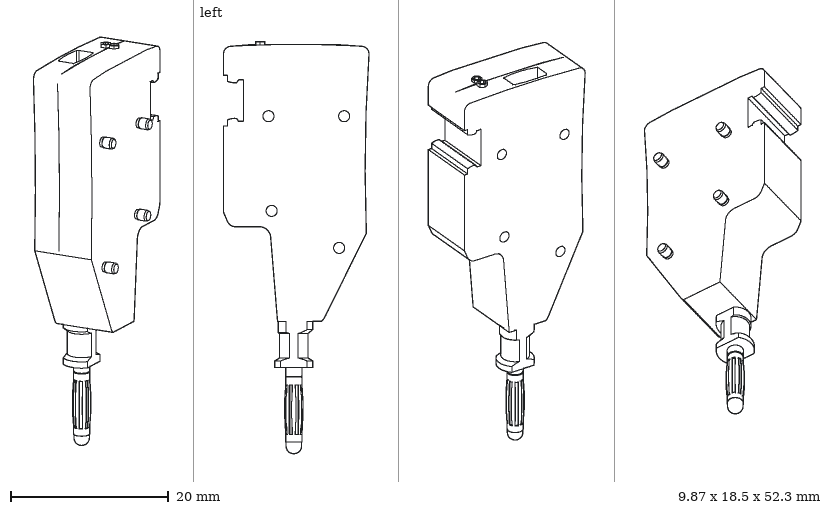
import cadquery as cq
import math


width = 8.2
seam_x = 3.5
back_y = 8.93
front_top_y = -9.55
narrow_waist_y = -9.04
wide_waist_y = -9.06
front_low_y = -9.2
base_z = 16.8
edge_z = 51.68
crown_z = 51.9
corner_r = 1.0
flat_back_y = 5.25
flat_front_y = -5.3
front_low_z = 28.4
front_waist_z = 38.0
incline_top_z = 27.95
incline_low_y = -3.95
incline_low_z = 17.35
toe_y = -3.5
neck_low_y = 2.08
neck_top_y = 2.95
neck_top_z = 27.5
shoulder_z = 28.76
shoulder_inner_y = 4.5
shoulder_outer_y = 7.35
heel_z = 30.65
heel_corner = (8.45, 29.5)
heel_arc_mid = (8.05, 29.0)
neck_arc_mid = (3.4, 28.4)

notch_mid_z = 44.78
notch_root_y = 6.4
notch_lip_y = 8.43
notch_mouth_half = 3.2
notch_lip_half = 2.45
notch_bump_half = 2.25
notch_root_half = 2.62
bump_inner_y = 7.25
bump_mid_y = 7.7
bump_root_y = 7.0

stud_places = [(3.21, 42.8), (-6.38, 42.8), (2.81, 30.8), (-5.75, 26.1)]
stud_d = 1.4
stud_length = 1.67
stud_bevel = 0.25
stud_end_inset = 0.1
stud_neck_d = 1.26
stud_neck_length = 0.35
socket_depth = 1.7

pocket_back_y = 1.0
pocket_front_y = -4.2
pocket_x0 = 0.57
pocket_x1 = 2.87
pocket_bulge_x0 = 0.41
pocket_bulge_x1 = 3.17
pocket_corner = 0.25
pocket_depth = 4.0

ring_top_z = 52.26
ring_y = 4.26
ring_d = 1.36
ring_wall = 0.25
ring_pitch = 1.2

axis_x = seam_x / 2
flange_r = 2.43
flange_back_r = 2.0
core_r = 1.83
collar_bottom_z = 10.93
low_flange_z = 11.77
low_core_z = 12.15
high_core_z = 15.25
high_flange_z = 15.75

plug_r = 1.04
nose_r = 1.0
groove_depth = 0.08
groove_z0 = 9.74
groove_z1 = 9.82
cage_top_z = 8.75
cage_bottom_z = 2.45
cage_bulge_r = 1.2
band_z = 1.5
leaf_count = 8
leaf_gap = 0.4
leaf_gap_depth = 0.35


def notch_z(half, side):
    """Height at a distance above (side = 1) or below (side = -1) the middle of the notch."""
    return notch_mid_z + side * half


def vertical_outline(rounded_top, waist_y):
    """Side outline of one shell in (y, z): arched top or flat top with sloping ends."""
    corner_mid = corner_r * (1 - math.sqrt(0.5))
    side_z = edge_z - corner_r
    top_back_y = back_y - corner_r
    top_front_y = front_top_y + corner_r

    outline = cq.Workplane("YZ").moveTo(back_y, side_z)
    outline = outline.threePointArc((back_y - corner_mid, edge_z - corner_mid), (top_back_y, edge_z))
    if rounded_top:
        middle_y = (top_back_y + top_front_y) / 2
        outline = outline.threePointArc((middle_y, crown_z), (top_front_y, edge_z))
    else:
        outline = outline.lineTo(flat_back_y, crown_z).lineTo(flat_front_y, crown_z)
        outline = outline.lineTo(top_front_y, edge_z)
    outline = (
        outline.threePointArc((front_top_y + corner_mid, edge_z - corner_mid), (front_top_y, side_z))
        .threePointArc((waist_y, front_waist_z), (front_low_y, front_low_z))
        .lineTo(front_low_y, incline_top_z)
        .lineTo(incline_low_y, incline_low_z)
        .tangentArcPoint((toe_y, base_z), relative=False)
        .lineTo(neck_low_y, base_z)
        .lineTo(neck_top_y, neck_top_z)
        .threePointArc(neck_arc_mid, (shoulder_inner_y, shoulder_z))
        .lineTo(shoulder_outer_y, shoulder_z)
        .threePointArc(heel_arc_mid, heel_corner)
        .lineTo(back_y, heel_z)
    )
    lower, upper = -1, 1
    return (
        outline.lineTo(back_y, notch_z(notch_mouth_half, lower))
        .lineTo(notch_lip_y, notch_z(notch_mouth_half, lower))
        .lineTo(notch_lip_y, notch_z(notch_lip_half, lower))
        .threePointArc(
            (bump_mid_y, notch_z(notch_bump_half, lower)),
            (bump_inner_y, notch_z(notch_bump_half, lower)),
        )
        .lineTo(bump_root_y, notch_z(notch_root_half, lower))
        .lineTo(notch_root_y, notch_z(notch_root_half, lower))
        .lineTo(notch_root_y, notch_z(notch_root_half, upper))
        .lineTo(bump_root_y, notch_z(notch_root_half, upper))
        .lineTo(bump_inner_y, notch_z(notch_bump_half, upper))
        .threePointArc(
            (bump_mid_y, notch_z(notch_bump_half, upper)),
            (notch_lip_y, notch_z(notch_lip_half, upper)),
        )
        .lineTo(notch_lip_y, notch_z(notch_mouth_half, upper))
        .lineTo(back_y, notch_z(notch_mouth_half, upper))
        .close()
    )


def revolved_about_plug_axis(profile):
    """Turn a closed (radius, z) profile about the plug axis."""
    return profile.revolve(360, (0, 0, 0), (0, 1, 0)).translate((axis_x, 0, 0))


def make_collar():
    """Flanged neck that carries the plug, flat on both sides."""
    profile = (
        cq.Workplane("XZ")
        .moveTo(0, collar_bottom_z)
        .lineTo(flange_r, collar_bottom_z)
        .lineTo(flange_r, low_flange_z)
        .lineTo(core_r, low_core_z)
        .lineTo(core_r, high_core_z)
        .lineTo(flange_r, high_flange_z)
        .lineTo(flange_r, base_z)
        .lineTo(0, base_z)
        .close()
    )
    flats = cq.Workplane("XY").box(seam_x, back_y, base_z, centered=(False, True, False))
    high_part = cq.Workplane("XY", origin=(axis_x, 0, high_core_z))
    back_rim_height = base_z - high_core_z
    back_rim = (
        high_part.circle(2 * flange_r)
        .circle(flange_back_r)
        .extrude(back_rim_height)
        .intersect(high_part.box(4 * flange_r, 2 * flange_r, back_rim_height, centered=(True, False, False)))
    )
    return revolved_about_plug_axis(profile).intersect(flats).cut(back_rim)


def make_studs():
    """Locating studs on the far side, necked at the root and bevelled at the end."""
    roots = cq.Workplane("YZ", origin=(width, 0, 0)).pushPoints(stud_places)
    necks = roots.circle(stud_neck_d / 2).extrude(stud_neck_length)
    shanks = (
        cq.Workplane("YZ", origin=(width + stud_neck_length, 0, 0))
        .pushPoints(stud_places)
        .circle(stud_d / 2)
        .extrude(stud_length - stud_neck_length)
        .faces(">X")
        .edges()
        .chamfer(stud_bevel, stud_end_inset)
    )
    return necks.union(shanks)


def make_sockets():
    """Blind holes in the mating face, in line with the studs."""
    return cq.Workplane("YZ").pushPoints(stud_places).circle(stud_d / 2).extrude(socket_depth)


def make_pocket():
    """Pocket with two bowed long walls, cut down from the top face."""
    middle_y = (pocket_back_y + pocket_front_y) / 2
    return (
        cq.Workplane("XY", origin=(0, 0, crown_z - pocket_depth))
        .moveTo(pocket_x1, pocket_back_y)
        .lineTo(pocket_x0 + pocket_corner, pocket_back_y)
        .lineTo(pocket_x0, pocket_back_y - pocket_corner)
        .threePointArc((pocket_bulge_x0, middle_y), (pocket_x0, pocket_front_y + pocket_corner))
        .lineTo(pocket_x0 + pocket_corner, pocket_front_y)
        .lineTo(pocket_x1, pocket_front_y)
        .threePointArc((pocket_bulge_x1, middle_y), (pocket_x1, pocket_back_y))
        .close()
        .extrude(2 * pocket_depth)
    )


def make_rings():
    """Pair of hexagonal rings standing on the top face across the seam."""
    places = [(seam_x - ring_pitch / 2, ring_y), (seam_x + ring_pitch / 2, ring_y)]
    ring_plane = cq.Workplane("XY", origin=(0, 0, edge_z))
    height = ring_top_z - edge_z
    outer = ring_plane.pushPoints(places).polygon(6, ring_d).extrude(height)
    inner = ring_plane.pushPoints(places).polygon(6, ring_d - 2 * ring_wall).extrude(height)
    return outer.cut(inner)


def make_housing():
    narrow_shell = vertical_outline(rounded_top=True, waist_y=narrow_waist_y).extrude(seam_x)
    wide_shell = vertical_outline(rounded_top=False, waist_y=wide_waist_y).extrude(width - seam_x)
    body = narrow_shell.union(wide_shell.translate((seam_x, 0, 0)))
    for addition in (make_collar(), make_studs(), make_rings()):
        body = body.union(addition)
    return body.cut(make_sockets()).cut(make_pocket())


def make_plug():
    """Round-nosed plug with a bowed cage of spring leaves."""
    cage_mid_z = (cage_top_z + cage_bottom_z) / 2
    nose_mid = nose_r * math.sqrt(0.5)
    groove_r = plug_r - groove_depth
    profile = (
        cq.Workplane("XZ")
        .moveTo(0, 0)
        .threePointArc((nose_mid, nose_r - nose_mid), (nose_r, nose_r))
        .lineTo(nose_r, band_z)
        .lineTo(plug_r, band_z)
        .lineTo(plug_r, cage_bottom_z)
        .threePointArc((cage_bulge_r, cage_mid_z), (plug_r, cage_top_z))
        .lineTo(plug_r, groove_z0)
        .lineTo(groove_r, groove_z0)
        .lineTo(groove_r, groove_z1)
        .lineTo(plug_r, groove_z1)
        .lineTo(plug_r, collar_bottom_z)
        .lineTo(0, collar_bottom_z)
        .close()
    )
    plug = revolved_about_plug_axis(profile)
    gap = (
        cq.Workplane("XY", origin=(cage_bulge_r - leaf_gap_depth, 0, cage_bottom_z))
        .box(cage_bulge_r, leaf_gap, cage_top_z - cage_bottom_z, centered=(False, True, False))
    )
    for leaf in range(leaf_count):
        turned_gap = gap.rotate((0, 0, 0), (0, 0, 1), (leaf + 0.5) * 360 / leaf_count)
        plug = plug.cut(turned_gap.translate((axis_x, 0, 0)))
    return plug


housing = make_housing()
plug = make_plug()

result = cq.Compound.makeCompound([housing.solids().val(), plug.solids().val()])